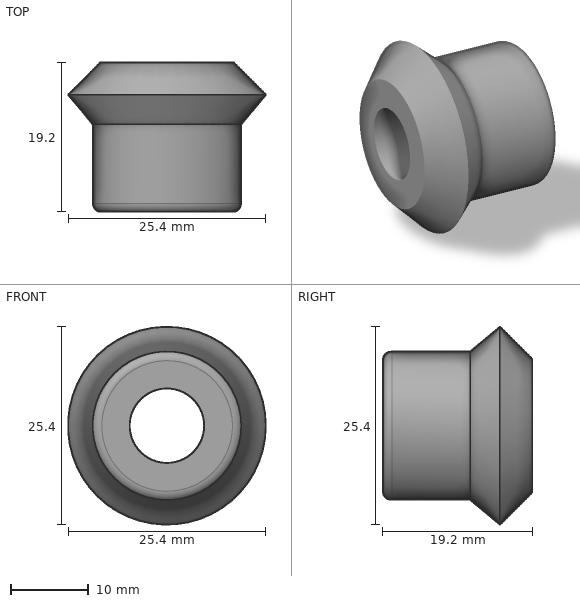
import cadquery as cq

flange_diameter = 25.4
shank_diameter = 19.05
bore_diameter = 9.52
total_length = 19.18
shank_length = 11.23
rim_position = 15.04
end_fillet = 1.15

flange_radius = flange_diameter / 2
shank_radius = shank_diameter / 2
bore_radius = bore_diameter / 2

back_radius = flange_radius - (total_length - rim_position)

half_section = (
    cq.Workplane("XY")
    .moveTo(bore_radius, 0)
    .lineTo(shank_radius - end_fillet, 0)
    .radiusArc((shank_radius, end_fillet), -end_fillet)
    .lineTo(shank_radius, shank_length)
    .lineTo(flange_radius, rim_position)
    .lineTo(back_radius, total_length)
    .lineTo(bore_radius, total_length)
    .close()
)

result = half_section.revolve(360, (0, 0, 0), (0, 1, 0))